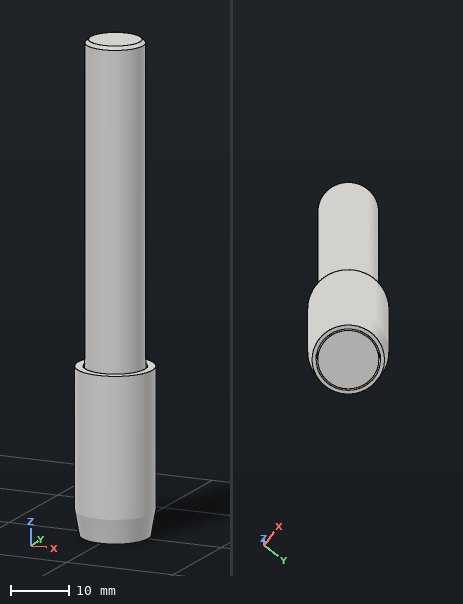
import cadquery as cq

total_length = 88.0

sleeve_diameter = 14.0
sleeve_length = 30.0
sleeve_bore_diameter = 11.0
taper_length = 4.5
taper_end_diameter = 12.4

pin_diameter = 10.5
pin_chamfer = 0.6


def make_sleeve():
    """Revolve the sleeve wall, from its tapered foot at Z = 0, about the Z axis."""
    bore_radius = sleeve_bore_diameter / 2
    outer_radius = sleeve_diameter / 2
    wall_profile = [
        (bore_radius, 0),
        (taper_end_diameter / 2, 0),
        (outer_radius, taper_length),
        (outer_radius, sleeve_length),
        (bore_radius, sleeve_length),
    ]
    return cq.Workplane("XZ").polyline(wall_profile).close().revolve(360, (0, 0), (0, 1))


def make_pin():
    """Rod over the full length, flush with the sleeve foot and chamfered at the top."""
    rod = cq.Workplane("XY").circle(pin_diameter / 2).extrude(total_length)
    return rod.faces(">Z").edges().chamfer(pin_chamfer)


sleeve = make_sleeve()
pin = make_pin()

result = cq.Compound.makeCompound([sleeve.val(), pin.val()])